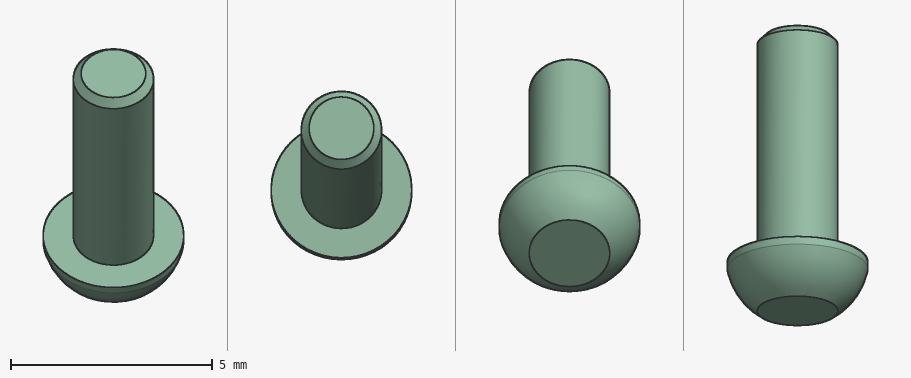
import cadquery as cq
import math

total_height = 7.3
head_height = 1.3
head_radius = 3.5 / 2
rim_height = 0.2
shank_radius = 2.0 / 2
tip_chamfer = 0.2
crown_radius = shank_radius

dome_height = head_height - rim_height
center_above_rim = (head_radius**2 - crown_radius**2 - dome_height**2) / (2 * dome_height)
center_z = dome_height + center_above_rim
sphere_radius = math.hypot(head_radius, center_above_rim)
dome_mid_z = dome_height / 2
dome_mid_radius = math.sqrt(sphere_radius**2 - (center_z - dome_mid_z) ** 2)

profile = (
    cq.Workplane("XZ")
    .moveTo(0, 0)
    .lineTo(crown_radius, 0)
    .threePointArc((dome_mid_radius, dome_mid_z), (head_radius, dome_height))
    .lineTo(head_radius, head_height)
    .lineTo(shank_radius, head_height)
    .lineTo(shank_radius, total_height - tip_chamfer)
    .lineTo(shank_radius - tip_chamfer, total_height)
    .lineTo(0, total_height)
    .close()
)
result = profile.revolve(360, (0, 0, 0), (0, 1, 0))